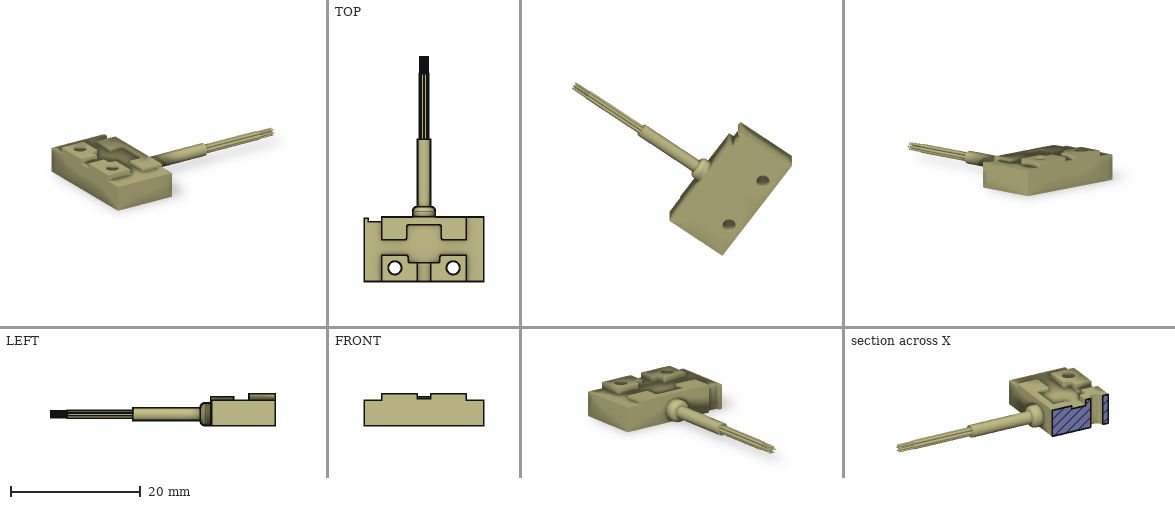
import cadquery as cq
import math

body_width = 18.45
body_depth = 9.98
deck_height = 4.0
mid_x = body_width / 2

pad_width = 13.05
rear_pad_top = 4.5
front_pad_top = 5.0
rear_pad_start = 6.45
front_pad_end = 4.1
rear_recess_width = 5.35
rear_recess_end = 8.73
front_recess_width = 4.92
front_recess_start = 2.9
recess_radius = 0.3

channel_width = 2.0
channel_floor = 4.2
hole_diameter = 2.0
hole_spacing = 8.97
hole_y = 2.1

notch_end_x = mid_x - pad_width / 2
notch_wall = 0.65
notch_floor_y = 9.25
notch_wall_end_y = 9.77

cable_z = 1.8
boss_diameter = 3.5
boss_end_y = 11.57
boss_round = 0.73
cable_diameter = 2.0
cable_end_y = 21.95
wire_diameter = 0.4
wire_end_y = 32.08
core_diameter = 0.253
core_end_y = 34.65
wire_circle_radius = 0.502
outer_wire_count = 6


def block(x_start, x_end, y_start, y_end, z_start, z_end):
    """Box between the given limits."""
    size = (x_end - x_start, y_end - y_start, z_end - z_start)
    return cq.Workplane("XY").box(*size, centered=False).translate((x_start, y_start, z_start))


def centred_block(width, y_start, y_end, z_start, z_end):
    """Box centred across the width of the housing."""
    return block(mid_x - width / 2, mid_x + width / 2, y_start, y_end, z_start, z_end)


def rod(diameter, y_start, y_end, x=mid_x, z=cable_z):
    """Cylinder along Y."""
    axis = cq.Workplane("XZ", origin=(x, y_start, z))
    return axis.circle(diameter / 2).extrude(y_start - y_end)


def recessed_pad(y_start, y_end, top, recess_width, recess_start, recess_end):
    """Pad on the deck with a recess in one long side, rounded at its four corners."""
    pad = centred_block(pad_width, y_start, y_end, deck_height, top)
    recess = centred_block(recess_width, recess_start, recess_end, deck_height, top)
    half_width = recess_width / 2
    corners = cq.selectors.BoxSelector(
        (mid_x - half_width - recess_radius, recess_start - recess_radius, deck_height - 0.35),
        (mid_x + half_width + recess_radius, recess_end + recess_radius, top + 0.35),
    )
    return pad.cut(recess).edges("|Z").edges(corners).fillet(recess_radius)


def housing():
    body = block(0, body_width, 0, body_depth, 0, deck_height)
    body = body.union(
        recessed_pad(rear_pad_start, body_depth, rear_pad_top,
                     rear_recess_width, rear_pad_start, rear_recess_end)
    )
    body = body.union(
        recessed_pad(0, front_pad_end, front_pad_top,
                     front_recess_width, front_recess_start, front_pad_end)
    )
    body = body.cut(centred_block(channel_width, 0, front_recess_start, channel_floor, front_pad_top))
    body = body.cut(block(notch_wall, notch_end_x, notch_floor_y, body_depth, 0, deck_height))
    body = body.cut(block(0, notch_wall, notch_wall_end_y, body_depth, 0, deck_height))
    for side in (-1, 1):
        hole = cq.Workplane("XY").center(mid_x + side * hole_spacing / 2, hole_y)
        body = body.cut(hole.circle(hole_diameter / 2).extrude(front_pad_top))
    return body


def wire_centres():
    """One wire in the middle and the others evenly spaced around it."""
    centres = [(mid_x, cable_z)]
    for index in range(outer_wire_count):
        angle = 2 * math.pi * index / outer_wire_count
        x = mid_x + wire_circle_radius * math.cos(angle)
        z = cable_z + wire_circle_radius * math.sin(angle)
        centres.append((x, z))
    return centres


def cable():
    boss = rod(boss_diameter, body_depth, boss_end_y).faces(">Y").edges().fillet(boss_round)
    assembly = boss.union(rod(cable_diameter, body_depth, cable_end_y))
    for x, z in wire_centres():
        assembly = assembly.union(rod(wire_diameter, cable_end_y, wire_end_y, x, z))
        assembly = assembly.union(rod(core_diameter, wire_end_y, core_end_y, x, z))
    return assembly


result = housing().union(cable())